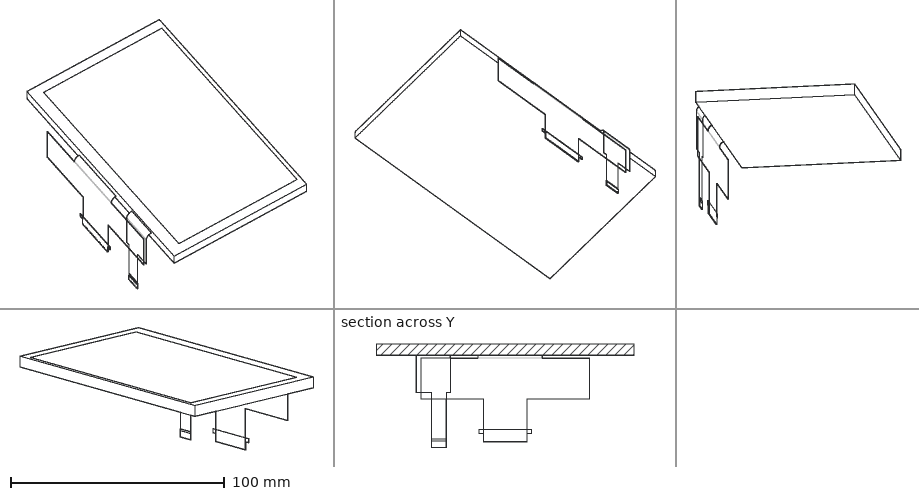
import cadquery as cq

panel_length = 120.7
panel_width = 75.7
panel_thickness = 5.3
panel_front = -panel_width / 2

view_length = 110.8
view_back_margin = 2.0
view_front_margin = 6.2
view_depth = 0.06

display_flex_back = 2.7
display_flex_front = 2.9
touch_flex_front = 3.0
stiffener_front = 3.1

display_bend_left = -17.4
display_bend_right = 12.8
display_bend_top = -3.6
display_board_half_length = 39.5
display_board_top = -6.6
display_board_bottom = -25.8
display_tail_half_width = 10.3
display_tail_bottom = -45.9

ear_half_span = 12.3
ear_top = -40.1
ear_height = 1.9

touch_left = 25.7
touch_right = 41.8
touch_bend_top = -1.6
touch_body_bottom = -22.8
touch_tail_left = 27.5
touch_tail_right = 34.6
touch_tail_bottom = -48.5
touch_stiffener_top = -44.5
touch_contact_top = -45.5


def sheet(left, right, bottom, top, back, front):
    """Upright rectangular layer between two distances from the panel front."""
    return cq.Workplane("XY").box(right - left, front - back, top - bottom, centered=False).translate(
        (left, panel_front - front, bottom)
    )


def bend(left, right, top, back, front, bottom):
    """Quarter-round film leaving the panel front and turning down to a bottom edge."""
    centre_z = top - front
    profile = (
        cq.Workplane("YZ", origin=(left, panel_front, 0))
        .moveTo(0, top)
        .radiusArc((-front, centre_z), -front)
        .lineTo(-front, bottom)
        .lineTo(-back, bottom)
        .lineTo(-back, centre_z)
        .radiusArc((0, centre_z + back), back)
        .close()
    )
    return profile.extrude(right - left)


def make_panel():
    panel = cq.Workplane("XY").box(panel_length, panel_width, panel_thickness)
    panel = panel.translate((0, 0, -panel_thickness / 2))
    view_width = panel_width - view_back_margin - view_front_margin
    view_centre = (view_front_margin - view_back_margin) / 2
    recess = cq.Workplane("XY").box(view_length, view_width, 2 * view_depth)
    return panel.cut(recess.translate((0, view_centre, 0)))


def make_display_flex():
    layer = (display_flex_back, display_flex_front)
    board = sheet(-display_board_half_length, display_board_half_length,
                  display_board_bottom, display_board_top, *layer)
    tail = sheet(-display_tail_half_width, display_tail_half_width,
                 display_tail_bottom, display_board_top, *layer)
    stiffener_layer = (display_flex_front, stiffener_front)
    stiffener = sheet(-display_tail_half_width, display_tail_half_width,
                      display_tail_bottom, ear_top, *stiffener_layer)
    ears = sheet(-ear_half_span, ear_half_span, ear_top - ear_height, ear_top, *stiffener_layer)
    film_bend = bend(display_bend_left, display_bend_right, display_bend_top, *layer, display_board_top)
    return board.union(tail).union(stiffener).union(ears).union(film_bend)


def make_touch_flex():
    layer = (display_flex_front, touch_flex_front)
    body = bend(touch_left, touch_right, touch_bend_top, *layer, touch_body_bottom)
    tail = sheet(touch_tail_left, touch_tail_right, touch_tail_bottom, touch_body_bottom, *layer)
    stiffener = sheet(touch_tail_left, touch_tail_right, touch_tail_bottom, touch_stiffener_top,
                      display_flex_back, display_flex_front)
    contacts = sheet(touch_tail_left, touch_tail_right, touch_tail_bottom, touch_contact_top,
                     touch_flex_front, stiffener_front)
    return body.union(tail).union(stiffener).union(contacts)


result = make_panel().union(make_display_flex()).union(make_touch_flex())